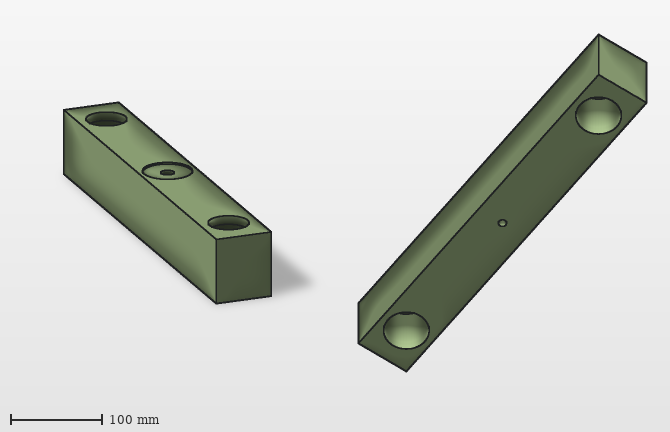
import cadquery as cq

length = 450.0
width = 65.0
height = 75.0

guide_spacing = 360.0
guide_neck_diameter = 45.0
guide_neck_depth = 10.0
guide_bore_diameter = 50.0

seat_diameter = 55.0
seat_depth = 2.0
counterbore_diameter = 15.0
counterbore_depth = 15.0
bolt_diameter = 9.0


def cylinder_down(x, diameter, top_z, depth):
    """Cylinder on the block's long centre line, reaching down from top_z."""
    return cq.Workplane("XY", origin=(x, 0, top_z)).circle(diameter / 2).extrude(-depth)


def guide_hole(x):
    """Through hole with a narrow neck at the top and a wider bore below."""
    bore_depth = height - guide_neck_depth
    neck = cylinder_down(x, guide_neck_diameter, height, guide_neck_depth)
    bore = cylinder_down(x, guide_bore_diameter, bore_depth, bore_depth)
    return neck.union(bore)


def centre_hole():
    """Shallow round seat, counterbore in its floor and a bolt hole through the block."""
    seat_floor = height - seat_depth
    seat = cylinder_down(0, seat_diameter, height, seat_depth)
    counterbore = cylinder_down(0, counterbore_diameter, seat_floor, counterbore_depth)
    bolt = cylinder_down(0, bolt_diameter, seat_floor, seat_floor)
    return seat.union(counterbore).union(bolt)


block = cq.Workplane("XY").box(length, width, height, centered=(True, True, False))

result = block.cut(centre_hole())
for side in (-1, 1):
    result = result.cut(guide_hole(side * guide_spacing / 2))